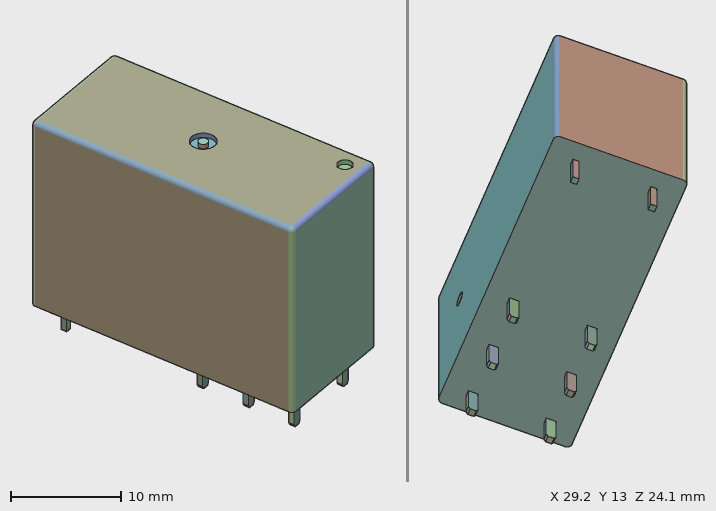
import cadquery as cq

case_length = 29.2
overall_width = 13.02
pad_height = 0.03
case_width = overall_width - pad_height
total_height = 24.1
pin_length = 3.5
case_height = total_height - pin_length
edge_radius = 0.5

recess_diameter = 2.5
post_diameter = 1.0
recess_depth = 0.5

mark_diameter = 1.5
mark_inset = 2.01
mark_depth = 0.5

pad_diameter = 1.35
pad_x = 9.0

row_spacing = 7.6
pin_pitch = 5.08
coil_pin_x = -12.59
contact_pitches_from_coil = (3, 4, 5)
pin_thickness = 0.6
contact_pin_width = 0.93
tip_chamfer_width = 0.18
tip_chamfer_height = 0.32
pin_overlap = 0.3


def make_case():
    """Box with rounded vertical and top edges and a flat, sharp-edged base."""
    box = cq.Workplane("XY").box(case_length, case_width, case_height, centered=(True, True, False))
    return box.edges("|Z or >Z").fillet(edge_radius)


def make_recess():
    """Ring-shaped cut that leaves the central post standing."""
    floor = cq.Workplane("XY").workplane(offset=case_height - recess_depth)
    return floor.circle(recess_diameter / 2).circle(post_diameter / 2).extrude(recess_depth)


def make_mark():
    """Blind hole in the +X, +Y corner of the top face."""
    mark_x = case_length / 2 - mark_inset
    mark_y = case_width / 2 - mark_inset
    floor = cq.Workplane("XY").workplane(offset=case_height - mark_depth)
    return floor.center(mark_x, mark_y).circle(mark_diameter / 2).extrude(mark_depth)


def make_pad():
    """Low disc standing proud of the +Y face, extended inward to the middle of the case."""
    pad = cq.Workplane("XZ").center(pad_x, case_height / 2).circle(pad_diameter / 2)
    return pad.extrude(-(case_width / 2 + pad_height))


def make_coil_pin(x, y):
    """Plain square pin hanging below the case."""
    base = cq.Workplane("XY").workplane(offset=-pin_length).center(x, y)
    return base.rect(pin_thickness, pin_thickness).extrude(pin_length + pin_overlap)


def make_contact_pin(x, y):
    """Flat pin whose tip is chamfered on both Y sides."""
    half_width = contact_pin_width / 2
    half_tip = half_width - tip_chamfer_width
    shoulder_z = tip_chamfer_height - pin_length
    profile = (
        cq.Workplane("YZ")
        .moveTo(-half_tip, -pin_length)
        .lineTo(half_tip, -pin_length)
        .lineTo(half_width, shoulder_z)
        .lineTo(half_width, pin_overlap)
        .lineTo(-half_width, pin_overlap)
        .lineTo(-half_width, shoulder_z)
        .close()
    )
    return profile.extrude(pin_thickness / 2, both=True).translate((x, y, 0))


result = make_case().cut(make_recess()).cut(make_mark()).union(make_pad())

for row_y in (-row_spacing / 2, row_spacing / 2):
    result = result.union(make_coil_pin(coil_pin_x, row_y))
    for pitches in contact_pitches_from_coil:
        result = result.union(make_contact_pin(coil_pin_x + pitches * pin_pitch, row_y))